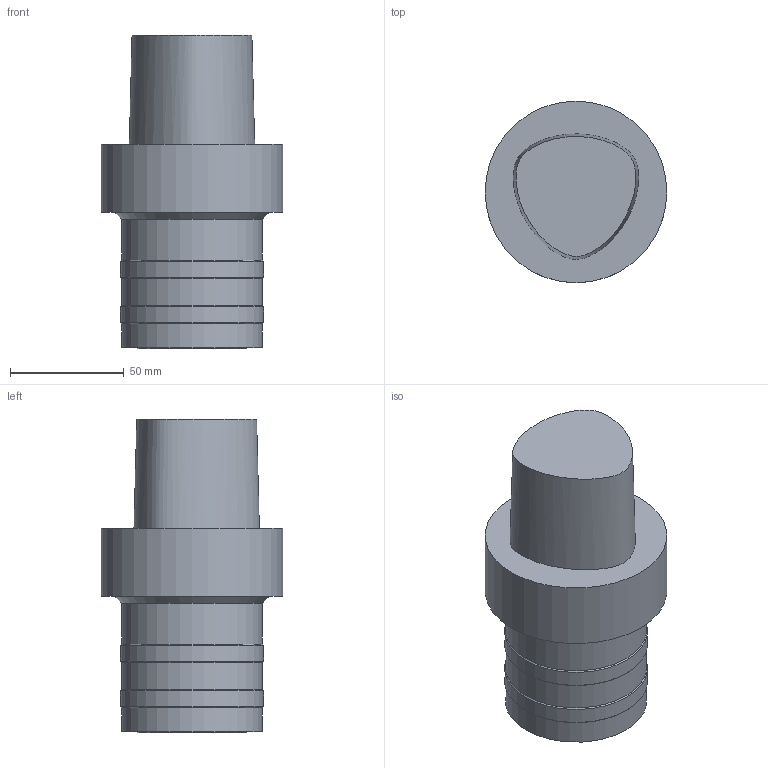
import cadquery as cq
import math

SHANK_LENGTH = 48.0
SHANK_BASE_WIDTH = 55.2
SHANK_TAPER = 1 / 20
LOBE_HEIGHT = 2.05
LOBE_COUNT = 3
OUTLINE_SAMPLES = 120
LOBE_DIRECTION = math.radians(-90)

FLANGE_DIAMETER = 80.0
FLANGE_THICKNESS = 30.0
NECK_BEVEL = 3.0

BODY_DIAMETER = 62.0
BODY_LENGTH = 60.0
BAND_DIAMETER = 63.0
BAND_WIDTH = 8.0
BAND_TOPS = (-51.0, -71.0)

PAD_DIAMETER = 49.0
PAD_HEIGHT = 0.5

BOTTOM_Z = -FLANGE_THICKNESS - BODY_LENGTH


def lobed_outline(width):
    """Closed curve of constant width: its tangent lies r + h*cos(n*a) from the axis."""
    mean_radius = width / 2

    def point(t):
        angle = 2 * math.pi * t
        lobe_angle = LOBE_COUNT * angle
        distance = mean_radius + LOBE_HEIGHT * math.cos(lobe_angle)
        slide = -LOBE_COUNT * LOBE_HEIGHT * math.sin(lobe_angle)
        normal = angle + LOBE_DIRECTION
        x = distance * math.cos(normal) - slide * math.sin(normal)
        y = distance * math.sin(normal) + slide * math.cos(normal)
        return x, y

    return point


def make_shank():
    """Shank that narrows evenly from the flange to its tip."""
    tip_width = SHANK_BASE_WIDTH - SHANK_TAPER * SHANK_LENGTH
    return (
        cq.Workplane("XY")
        .parametricCurve(lobed_outline(SHANK_BASE_WIDTH), N=OUTLINE_SAMPLES)
        .workplane(offset=SHANK_LENGTH)
        .parametricCurve(lobed_outline(tip_width), N=OUTLINE_SAMPLES)
        .loft(ruled=True)
    )


def cylinder(diameter, bottom, top):
    """Round bar on the Z axis between two heights."""
    return cq.Workplane("XY").workplane(offset=bottom).circle(diameter / 2).extrude(top - bottom)


def cone(bottom_diameter, top_diameter, bottom, top):
    """Cut-off cone on the Z axis between two heights."""
    return (
        cq.Workplane("XY")
        .workplane(offset=bottom)
        .circle(bottom_diameter / 2)
        .workplane(offset=top - bottom)
        .circle(top_diameter / 2)
        .loft(ruled=True)
    )


def make_neck():
    """45 degree cone that widens from the body to the underside of the flange."""
    wide_diameter = BODY_DIAMETER + 2 * NECK_BEVEL
    return cone(BODY_DIAMETER, wide_diameter, -FLANGE_THICKNESS - NECK_BEVEL, -FLANGE_THICKNESS)


def make_band(top):
    """Raised band whose edges are bevelled down to the body."""
    bevel = (BAND_DIAMETER - BODY_DIAMETER) / 2
    return cylinder(BAND_DIAMETER, top - BAND_WIDTH, top).edges("%CIRCLE").chamfer(bevel)


def make_pad():
    """Low 45 degree cone on the bottom face."""
    return cone(PAD_DIAMETER - 2 * PAD_HEIGHT, PAD_DIAMETER, BOTTOM_Z, BOTTOM_Z + PAD_HEIGHT)


result = cylinder(FLANGE_DIAMETER, -FLANGE_THICKNESS, 0)
result = result.union(make_shank())
result = result.union(cylinder(BODY_DIAMETER, BOTTOM_Z + PAD_HEIGHT, -FLANGE_THICKNESS))
result = result.union(make_neck())
for band_top in BAND_TOPS:
    result = result.union(make_band(band_top))
result = result.union(make_pad())